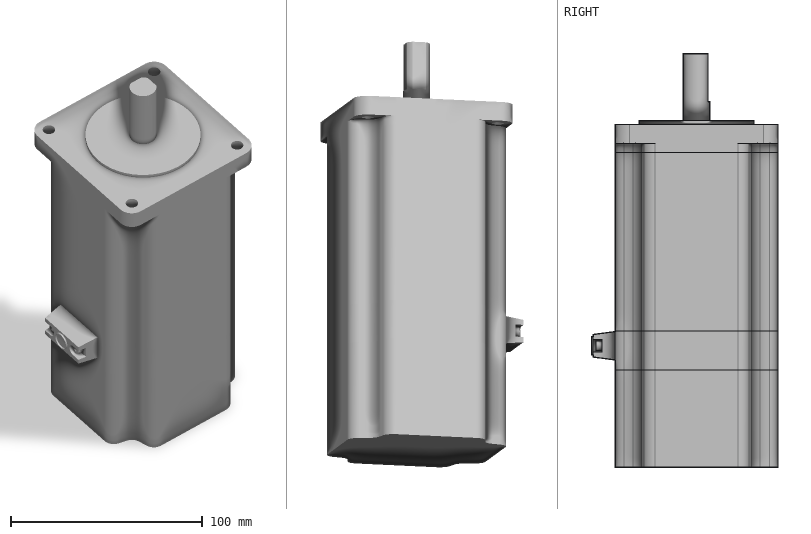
import cadquery as cq
import math

FRAME_SIZE = 85.0
HALF_FRAME = FRAME_SIZE / 2

REAR_TOP = 51.0
RING_TOP = 71.3
STATOR_TOP = 164.4
PLATE_BOTTOM = 169.1
PLATE_TOP = 179.0
PILOT_TOP = 181.0
FLATS_BOTTOM = 191.0
SHAFT_TOP = 216.0

FACE_HALF_WIDTH = 21.5
CORNER_ARC_RADIUS = 6.0
FLANK_ANGLE = 76.0

HOLE_OFFSET = 35.0
HOLE_DIAMETER = 6.5
PLATE_CORNER_RADIUS = HALF_FRAME - HOLE_OFFSET
PILOT_DIAMETER = 60.0
SHAFT_DIAMETER = 14.0
SHAFT_FLAT_OFFSET = 6.0

CONNECTOR_Z = 63.5
CONNECTOR_BASE_WIDTH = 31.0
CONNECTOR_BASE_HEIGHT = 15.0
CONNECTOR_FRONT_WIDTH = 28.0
CONNECTOR_FRONT_HEIGHT = 11.9
CONNECTOR_DEPTH = 11.5
RIM_DIAMETER = 9.5
RIM_BORE = 8.6
RIM_HEIGHT = 0.9
SCREW_OFFSET = 9.7
SCREW_POCKET_WIDTH = 6.5
SCREW_POCKET_DEPTH = 4.5
SCREW_HEAD_DIAMETER = 5.2
SCREW_HEAD_HEIGHT = 3.0
SCREW_SOCKET_CORNERS = 2.5
SCREW_SOCKET_DEPTH = 1.0


def corner_points():
    """Points of the +X +Y corner, from the end of the +Y face round to the end of the +X face."""
    radius = CORNER_ARC_RADIUS
    flank = math.radians(FLANK_ANGLE)
    half_turn = flank / 2
    convex_x = FACE_HALF_WIDTH
    convex_y = HALF_FRAME - radius
    normal_x = math.sin(flank)
    normal_y = math.cos(flank)
    flank_distance = normal_x * convex_x + normal_y * convex_y + radius
    groove_centre = (flank_distance + radius) / (normal_x + normal_y)
    groove_middle = groove_centre - radius / math.sqrt(2)

    half_corner = [
        (convex_x, HALF_FRAME),
        (convex_x + radius * math.sin(half_turn), convex_y + radius * math.cos(half_turn)),
        (convex_x + radius * normal_x, convex_y + radius * normal_y),
        (groove_centre - radius * normal_x, groove_centre - radius * normal_y),
    ]
    mirrored_half = [(y, x) for x, y in reversed(half_corner)]
    return half_corner + [(groove_middle, groove_middle)] + mirrored_half


def frame_section(bottom, top):
    """A length of the frame with its four grooved corners."""
    outline = cq.Workplane("XY").workplane(offset=bottom).moveTo(-FACE_HALF_WIDTH, HALF_FRAME)
    corner = corner_points()
    for quarter in range(4):
        turned = corner
        for _ in range(quarter):
            turned = [(y, -x) for x, y in turned]
        start, arc_1, flank_1, groove_1, groove_mid, groove_2, flank_2, arc_2, end = turned
        outline = (
            outline.lineTo(*start)
            .threePointArc(arc_1, flank_1)
            .lineTo(*groove_1)
            .threePointArc(groove_mid, groove_2)
            .lineTo(*flank_2)
            .threePointArc(arc_2, end)
        )
    return outline.close().extrude(top - bottom)


def make_flange():
    """Square mounting plate with a grooved foot below, a round pilot above and four holes."""
    foot = frame_section(STATOR_TOP, PLATE_BOTTOM)
    plate = (
        cq.Workplane("XY")
        .workplane(offset=PLATE_BOTTOM)
        .rect(FRAME_SIZE, FRAME_SIZE)
        .extrude(PLATE_TOP - PLATE_BOTTOM)
        .edges("|Z")
        .fillet(PLATE_CORNER_RADIUS)
    )
    pilot = (
        cq.Workplane("XY")
        .workplane(offset=PLATE_TOP)
        .circle(PILOT_DIAMETER / 2)
        .extrude(PILOT_TOP - PLATE_TOP)
    )
    holes = (
        cq.Workplane("XY")
        .workplane(offset=PLATE_BOTTOM)
        .rect(2 * HOLE_OFFSET, 2 * HOLE_OFFSET, forConstruction=True)
        .vertices()
        .circle(HOLE_DIAMETER / 2)
        .extrude(PLATE_TOP - PLATE_BOTTOM)
    )
    return foot.union(plate).union(pilot).cut(holes)


def make_shaft():
    """Round output shaft standing on the pilot, with flats on its -X and +Y sides."""
    upper_length = (
        cq.Workplane("XY")
        .workplane(offset=FLATS_BOTTOM)
        .circle(SHAFT_DIAMETER / 2)
        .extrude(SHAFT_TOP - FLATS_BOTTOM)
    )
    block_size = SHAFT_DIAMETER / 2 + SHAFT_FLAT_OFFSET
    block = (
        cq.Workplane("XY")
        .workplane(offset=FLATS_BOTTOM)
        .center(-SHAFT_FLAT_OFFSET, SHAFT_FLAT_OFFSET)
        .rect(block_size, -block_size, centered=False)
        .extrude(SHAFT_TOP - FLATS_BOTTOM)
    )
    lower_length = (
        cq.Workplane("XY")
        .workplane(offset=PILOT_TOP)
        .circle(SHAFT_DIAMETER / 2)
        .extrude(FLATS_BOTTOM - PILOT_TOP)
    )
    return lower_length.union(upper_length.intersect(block))


def connector_plane(distance):
    """Plane facing -Y, at a distance in front of the ring's face and level with the connector."""
    return cq.Workplane("XZ", origin=(0, -HALF_FRAME - distance, CONNECTOR_Z))


def make_connector():
    """Tapered block with a round rim, and a hexagon socket screw in an open-sided pocket at either end."""
    connector = (
        connector_plane(0)
        .rect(CONNECTOR_BASE_WIDTH, CONNECTOR_BASE_HEIGHT)
        .workplane(offset=CONNECTOR_DEPTH)
        .rect(CONNECTOR_FRONT_WIDTH, CONNECTOR_FRONT_HEIGHT)
        .loft(ruled=True)
    )
    rim = (
        connector_plane(CONNECTOR_DEPTH)
        .circle(RIM_DIAMETER / 2)
        .circle(RIM_BORE / 2)
        .extrude(RIM_HEIGHT)
    )
    connector = connector.union(rim)

    pocket_floor = CONNECTOR_DEPTH - SCREW_POCKET_DEPTH
    head_top = pocket_floor + SCREW_HEAD_HEIGHT
    pocket_length = CONNECTOR_BASE_WIDTH / 2
    for side in (-1, 1):
        pocket = (
            connector_plane(pocket_floor)
            .center(side * (SCREW_OFFSET + pocket_length / 2), 0)
            .slot2D(pocket_length + SCREW_POCKET_WIDTH, SCREW_POCKET_WIDTH)
            .extrude(SCREW_POCKET_DEPTH)
        )
        head = (
            connector_plane(pocket_floor)
            .center(side * SCREW_OFFSET, 0)
            .circle(SCREW_HEAD_DIAMETER / 2)
            .extrude(SCREW_HEAD_HEIGHT)
        )
        socket = (
            connector_plane(head_top - SCREW_SOCKET_DEPTH)
            .transformed(offset=(side * SCREW_OFFSET, 0, 0), rotate=(0, 0, 90))
            .polygon(6, SCREW_SOCKET_CORNERS)
            .extrude(SCREW_SOCKET_DEPTH)
        )
        connector = connector.cut(pocket).union(head).cut(socket)
    return connector


def make_ring():
    """Ring of the frame that carries the connector."""
    return frame_section(REAR_TOP, RING_TOP).union(make_connector())


rear_cover = frame_section(0, REAR_TOP)
ring = make_ring()
stator = frame_section(RING_TOP, STATOR_TOP)
flange = make_flange()
shaft = make_shaft()

result = cq.Compound.makeCompound(
    [rear_cover.val(), ring.val(), stator.val(), flange.val(), shaft.val()]
)